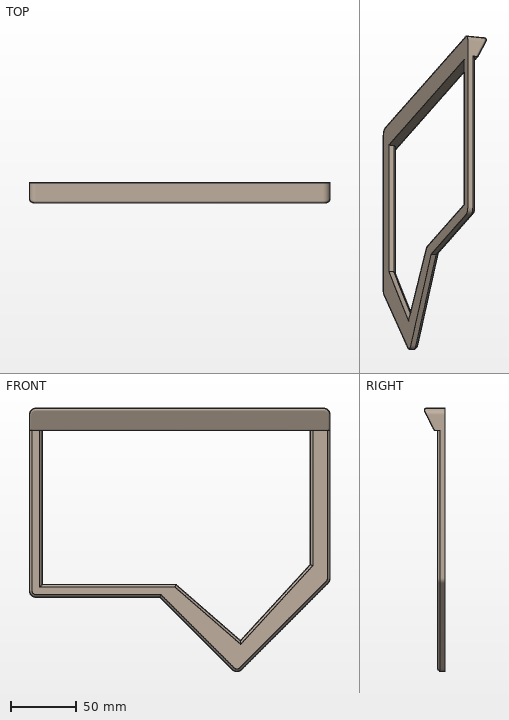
import cadquery as cq
import math

width = 230.1
height = 201.5
corner_radius = 5.0

frame_thickness = 6.0
edge_chamfer = 2.0
left_height = 144.7
tip_x = 158.8

left_border = 10.0
right_border = 15.2
bottom_border = 10.0
opening_knee_x = 112.0
opening_tip_x = 161.5
opening_tip_depth = 177.9
opening_shoulder_depth = 119.7

bar_height = 17.3
bar_depth = 15.9
bar_slope = 0.5
bar_edge_radius = 1.5

tip_depth = height + corner_radius * (math.sqrt(2) - 1)
knee_x = tip_x - (tip_depth - left_height)
shoulder_depth = tip_depth - (width - tip_x)

nose_half_angle = math.atan(1 / bar_slope) / 2
sharp_bar_depth = bar_depth + bar_edge_radius * (1 / math.tan(nose_half_angle) - 1)
bar_bottom_depth = sharp_bar_depth - bar_slope * bar_height


def front_plate(points, thickness):
    """Solid from an XZ outline, running forward (-Y) from the back face."""
    return cq.Workplane("XZ").polyline(points).close().extrude(thickness)


def round_corners(plate, corners):
    """Round the Y-direction edges that pass through the given (x, z) corners."""
    for x, z in corners:
        near_corner = cq.selectors.BoxSelector(
            (x - corner_radius, -sharp_bar_depth, z - corner_radius),
            (x + corner_radius, 0, z + corner_radius),
        )
        plate = plate.edges("|Y").edges(near_corner).fillet(corner_radius)
    return plate


def make_frame():
    """Flat ring with chamfered front edges and rounded outer corners."""
    top_left = (0, 0)
    top_right = (width, 0)
    shoulder = (width, -shoulder_depth)
    tip = (tip_x, -tip_depth)
    knee = (knee_x, -left_height)
    bottom_left = (0, -left_height)
    plate = front_plate([top_left, top_right, shoulder, tip, knee, bottom_left], frame_thickness)
    plate = round_corners(plate, [top_left, top_right, shoulder, tip, bottom_left])

    opening_right = width - right_border
    opening_bottom = bottom_border - left_height
    opening = front_plate(
        [
            (left_border, -bar_height),
            (opening_right, -bar_height),
            (opening_right, -opening_shoulder_depth),
            (opening_tip_x, -opening_tip_depth),
            (opening_knee_x, opening_bottom),
            (left_border, opening_bottom),
        ],
        frame_thickness,
    )
    return plate.cut(opening).faces("<Y").edges().chamfer(edge_chamfer)


def make_header_bar():
    """Wedge along the top, with every edge of its sloped front face rounded."""
    profile = [(0, 0), (-sharp_bar_depth, 0), (-bar_bottom_depth, -bar_height), (0, -bar_height)]
    bar = cq.Workplane("YZ").polyline(profile).close().extrude(width)
    bar = round_corners(bar, [(0, 0), (width, 0)])
    return bar.faces("<Y").edges().fillet(bar_edge_radius)


result = make_frame().union(make_header_bar())